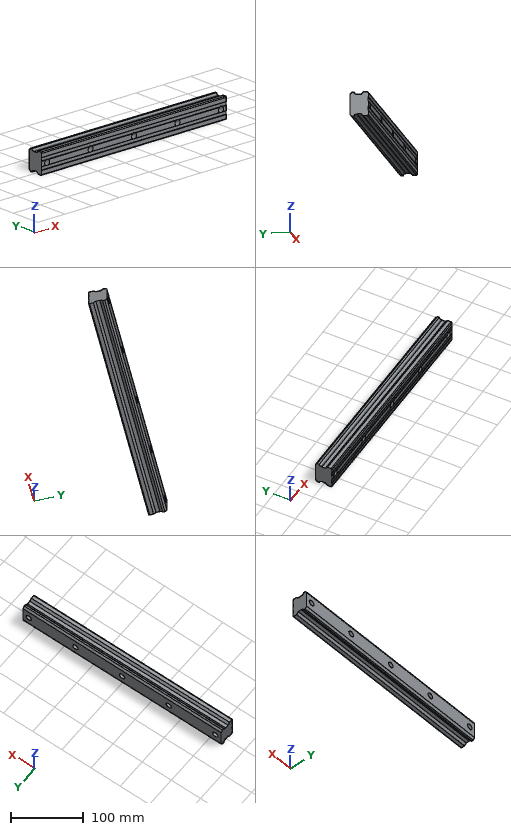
import cadquery as cq

LENGTH = 340.0
HEIGHT = 26.0
WIDTH = 34.0
HALF_HEIGHT = HEIGHT / 2
HALF_WIDTH = WIDTH / 2

HEAD_CHAMFER = 3.0
BASE_CHAMFER = 1.5

GROOVE_DEPTH = 3.2
GROOVE_HEAD_Y = 7.0
RACEWAY_RADIUS = 2.7
RACEWAY_LIP = 0.5
FLOOR_HEAD_Y = 2.9
FLOOR_BASE_Y = -2.6
GROOVE_BASE_Y = -6.0

SLOT_INNER_Z = 3.8
SLOT_OUTER_Z = 9.5
SLOT_DEPTH = 0.5
SLOT_WALL_RUN = 0.5

HOLE_DIAMETER = 9.0
HOLE_COUNT = 5
HOLE_PITCH = 80.0


def flank_groove():
    """Groove cutter for the +Z flank, running the full length."""
    floor_z = HALF_WIDTH - GROOVE_DEPTH
    raceway_end_z = floor_z + RACEWAY_LIP
    raceway_end_y = GROOVE_HEAD_Y - RACEWAY_RADIUS
    return (
        cq.Workplane("YZ", origin=(-LENGTH / 2, 0, 0))
        .moveTo(GROOVE_HEAD_Y, HALF_WIDTH)
        .radiusArc((raceway_end_y, raceway_end_z), RACEWAY_RADIUS)
        .lineTo(FLOOR_HEAD_Y, floor_z)
        .lineTo(FLOOR_BASE_Y, floor_z)
        .lineTo(GROOVE_BASE_Y, HALF_WIDTH)
        .close()
        .extrude(LENGTH)
    )


def relief_slot():
    """Slot cutter for the +Z half of the -Y face, running the full length."""
    floor_y = SLOT_DEPTH - HALF_HEIGHT
    return (
        cq.Workplane("YZ", origin=(-LENGTH / 2, 0, 0))
        .moveTo(-HALF_HEIGHT, SLOT_INNER_Z)
        .lineTo(floor_y, SLOT_INNER_Z + SLOT_WALL_RUN)
        .lineTo(floor_y, SLOT_OUTER_Z - SLOT_WALL_RUN)
        .lineTo(-HALF_HEIGHT, SLOT_OUTER_Z)
        .close()
        .extrude(LENGTH)
    )


def mounting_holes():
    """Row of through-hole cutters centred on the rail."""
    return (
        cq.Workplane("XZ", origin=(0, HALF_HEIGHT, 0))
        .rarray(HOLE_PITCH, 1, HOLE_COUNT, 1)
        .circle(HOLE_DIAMETER / 2)
        .extrude(HEIGHT)
    )


rail = cq.Workplane("XY").box(LENGTH, HEIGHT, WIDTH)
rail = rail.edges("|X and >Y").chamfer(HEAD_CHAMFER)
rail = rail.edges("|X and <Y").chamfer(BASE_CHAMFER)

for cutter in (flank_groove(), relief_slot()):
    rail = rail.cut(cutter).cut(cutter.mirror("XY"))

result = rail.cut(mounting_holes())